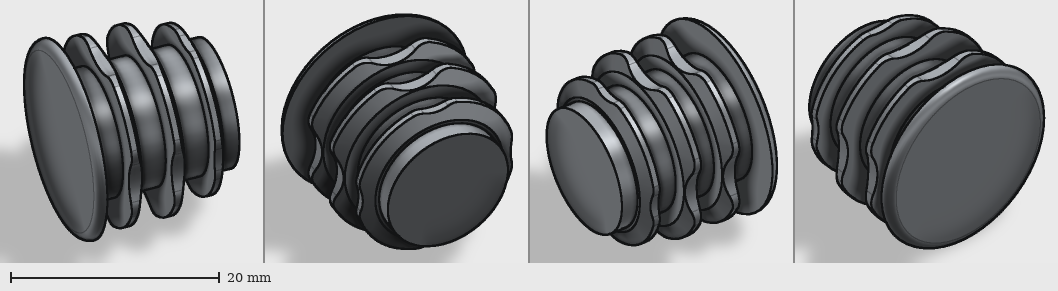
import cadquery as cq
import math

total_length = 16.0
core_radius = 6.5
cap_radius = 10.0
cap_thickness = 1.0

fin_pitch = 4.4
first_fin_start = 4.0
fin_thickness = 1.4
fin_rim_thickness = 0.7
large_fin_radius = 9.5
large_fin_back_radius = 7.9
small_fin_radius = 8.5
small_fin_back_radius = 6.9

notch_count = 4
notch_floor_radius = 8.0
notch_arc_radius = 5.0
notch_blend_radius = 2.0


def point_at(radius, angle):
    return (radius * math.cos(angle), radius * math.sin(angle))


def along_y(start):
    """Workplane across the axis at the given distance from the cap face."""
    return cq.Workplane("XZ", origin=(0, start, 0))


def fin_outline(start, rim_radius):
    """Notched prism: concave notch arcs blended tangentially into the rim."""
    notch_center = notch_floor_radius + notch_arc_radius
    blend_center = rim_radius - notch_blend_radius
    center_gap = notch_arc_radius + notch_blend_radius

    rim_angle = math.acos(
        (notch_center**2 + blend_center**2 - center_gap**2) / (2 * notch_center * blend_center)
    )
    blend_x, blend_y = point_at(blend_center, rim_angle)

    tangent_angle = math.atan2(-blend_y, notch_center - blend_x)
    tangent_dx, tangent_dy = point_at(notch_blend_radius, tangent_angle)
    tangent_x = blend_x + tangent_dx
    tangent_y = blend_y + tangent_dy
    middle_dx, middle_dy = point_at(notch_blend_radius, (tangent_angle + rim_angle) / 2)
    middle_x = blend_x + middle_dx
    middle_y = blend_y + middle_dy

    pitch_angle = 2 * math.pi / notch_count

    def turned(x, y, index):
        return point_at(math.hypot(x, y), math.atan2(y, x) + index * pitch_angle)

    rim_x, rim_y = point_at(rim_radius, rim_angle)
    outline = along_y(start).moveTo(rim_x, -rim_y)
    for index in range(notch_count):
        outline = (
            outline
            .threePointArc(turned(middle_x, -middle_y, index), turned(tangent_x, -tangent_y, index))
            .threePointArc(turned(notch_floor_radius, 0, index), turned(tangent_x, tangent_y, index))
            .threePointArc(turned(middle_x, middle_y, index), turned(rim_x, rim_y, index))
            .threePointArc(
                point_at(rim_radius, (index + 0.5) * pitch_angle),
                turned(rim_x, -rim_y, index + 1),
            )
        )
    return outline.close().extrude(-fin_thickness)


def make_fin(start, rim_radius, back_radius):
    """Fin with a straight rim and a conical back, cut by the notched outline."""
    disc = (
        cq.Workplane("XY")
        .moveTo(0, start)
        .lineTo(rim_radius, start)
        .lineTo(rim_radius, start + fin_rim_thickness)
        .lineTo(back_radius, start + fin_thickness)
        .lineTo(0, start + fin_thickness)
        .close()
        .revolve(360, (0, 0, 0), (0, 1, 0))
    )
    return disc.intersect(fin_outline(start, rim_radius))


def make_cap():
    """Cap whose front edge is fully rounded over its thickness."""
    arc_offset = cap_thickness * math.sqrt(0.5)
    face_radius = cap_radius - cap_thickness
    return (
        cq.Workplane("XY")
        .lineTo(face_radius, 0)
        .threePointArc(
            (face_radius + arc_offset, cap_thickness - arc_offset),
            (cap_radius, cap_thickness),
        )
        .lineTo(0, cap_thickness)
        .close()
        .revolve(360, (0, 0, 0), (0, 1, 0))
    )


core_length = total_length - cap_thickness
result = along_y(cap_thickness).circle(core_radius).extrude(-core_length)

result = result.union(make_cap())

fin_sizes = [
    (large_fin_radius, large_fin_back_radius),
    (large_fin_radius, large_fin_back_radius),
    (small_fin_radius, small_fin_back_radius),
]
for fin_index, (rim_radius, back_radius) in enumerate(fin_sizes):
    fin_start = first_fin_start + fin_index * fin_pitch
    result = result.union(make_fin(fin_start, rim_radius, back_radius))